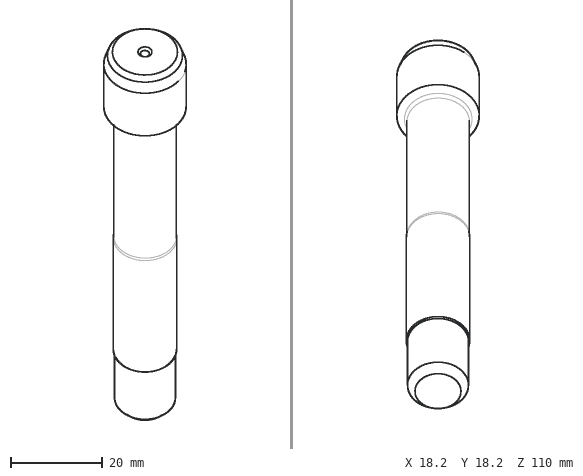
import cadquery as cq
import math

length = 110.0

head_radius = 18.2 / 2
head_top_radius = 7.2
head_shoulder_radius = 8.2
head_bottom_z = 93.0
head_taper_start_z = 106.3
head_chamfer = head_shoulder_radius - head_top_radius

underhead_slope = math.radians(30)
neck_fillet = 1.1

neck_radius = 13.8 / 2
collar_radius = 14.0 / 2
collar_top_z = 51.9
collar_lead_in = 0.7
collar_bottom_z = 17.0
collar_bottom_chamfer = 0.3
tail_radius = 13.4 / 2
tail_chamfer_height = 2.0
tail_end_radius = 5.1

bore_radius = 2.0 / 2
bore_depth = 3.8
countersink_radius = 1.5
tip_half_angle = math.radians(60)


def make_body():
    """Revolve the stepped half outline around the Z axis."""
    fillet_turn = math.pi / 2 - underhead_slope
    cone_end_radius = neck_radius + neck_fillet * (1 - math.cos(fillet_turn))
    cone_end_z = head_bottom_z - (head_radius - cone_end_radius) * math.tan(underhead_slope)
    neck_top_z = cone_end_z - neck_fillet * math.sin(fillet_turn)
    fillet_middle = (
        neck_radius + neck_fillet * (1 - math.cos(fillet_turn / 2)),
        neck_top_z + neck_fillet * math.sin(fillet_turn / 2),
    )
    outline = (
        cq.Workplane("XZ")
        .lineTo(tail_end_radius, 0)
        .lineTo(tail_radius, tail_chamfer_height)
        .lineTo(tail_radius, collar_bottom_z - collar_bottom_chamfer)
        .lineTo(collar_radius, collar_bottom_z)
        .lineTo(collar_radius, collar_top_z)
        .lineTo(neck_radius, collar_top_z + collar_lead_in)
        .lineTo(neck_radius, neck_top_z)
        .threePointArc(fillet_middle, (cone_end_radius, cone_end_z))
        .lineTo(head_radius, head_bottom_z)
        .lineTo(head_radius, head_taper_start_z)
        .lineTo(head_shoulder_radius, length - head_chamfer)
        .lineTo(head_top_radius, length)
        .lineTo(0, length)
        .close()
    )
    return outline.revolve(360, (0, 0, 0), (0, 1, 0))


def make_centre_hole():
    """Blind bore with a 90 degree countersink and a drill-point bottom."""
    bore_bottom_z = length - bore_depth
    outline = (
        cq.Workplane("XZ")
        .moveTo(0, length)
        .lineTo(countersink_radius, length)
        .lineTo(bore_radius, length - (countersink_radius - bore_radius))
        .lineTo(bore_radius, bore_bottom_z)
        .lineTo(0, bore_bottom_z - bore_radius / math.tan(tip_half_angle))
        .close()
    )
    return outline.revolve(360, (0, 0, 0), (0, 1, 0))


result = make_body().cut(make_centre_hole())